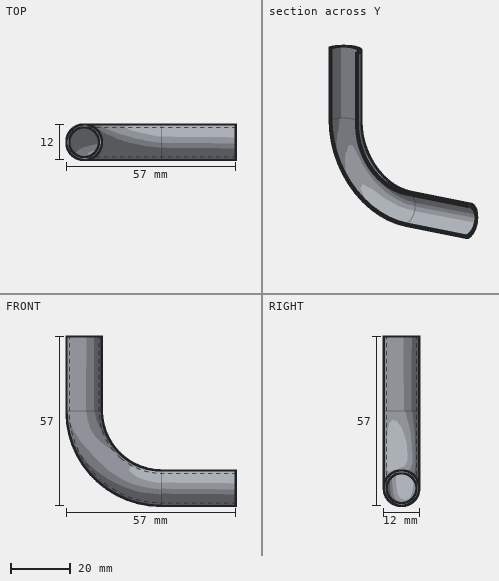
import cadquery as cq

outer_diameter = 12.0
wall_thickness = 1.0
leg_length = 25.0
bend_radius = 26.0
bend_angle = 90.0

outer_radius = outer_diameter / 2
inner_radius = outer_radius - wall_thickness


def tube_ring(plane):
    """Annular tube section centred on the given work plane."""
    return cq.Workplane(plane).circle(outer_radius).circle(inner_radius)


upright_plane = cq.Plane(origin=(0, 0, bend_radius), xDir=(1, 0, 0), normal=(0, 0, 1))
level_plane = cq.Plane(origin=(bend_radius, 0, 0), xDir=(0, 0, 1), normal=(1, 0, 0))

upright_leg = tube_ring(upright_plane).extrude(leg_length)
level_leg = tube_ring(level_plane).extrude(leg_length)

bend_axis_start = (bend_radius, 0)
bend_axis_end = (bend_radius, -1)
elbow = tube_ring(upright_plane).revolve(bend_angle, bend_axis_start, bend_axis_end)

result = upright_leg.union(elbow).union(level_leg)